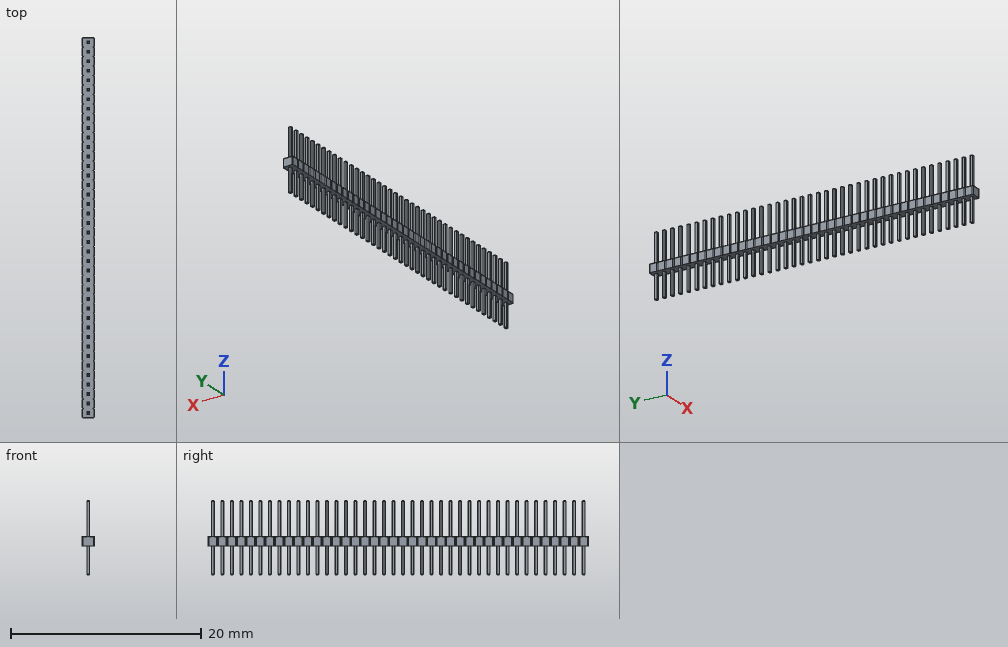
import cadquery as cq

PIN_COUNT = 40
PITCH = 1.0
BODY_WIDTH = 1.27
BODY_HEIGHT = 1.0
BODY_CORNER_CHAMFER = 0.1
PIN_SIZE = 0.3
PIN_TIP_CHAMFER = PIN_SIZE / 4
PIN_LENGTH_BELOW = 3.0
PIN_LENGTH_ABOVE = 3.8

PIN_LENGTH = PIN_LENGTH_BELOW + BODY_HEIGHT + PIN_LENGTH_ABOVE
FIRST_PIN_Y = -(PIN_COUNT - 1) * PITCH / 2
PIN_POSITIONS = [(0, FIRST_PIN_Y + index * PITCH) for index in range(PIN_COUNT)]


def half_outline(side):
    """Points along one long side of the body, in order of rising Y; side is +1 or -1 in X."""
    outer_x = side * BODY_WIDTH / 2
    notch_x = outer_x - side * BODY_CORNER_CHAMFER
    half_flat = PITCH / 2 - BODY_CORNER_CHAMFER
    points = [(notch_x, FIRST_PIN_Y - PITCH / 2)]
    for _, pin_y in PIN_POSITIONS:
        points.append((outer_x, pin_y - half_flat))
        points.append((outer_x, pin_y + half_flat))
        points.append((notch_x, pin_y + PITCH / 2))
    return points


def make_body():
    """Insulator strip with its underside on Z = 0: chamfered ends and a V notch between pins."""
    outline = half_outline(1) + half_outline(-1)[::-1]
    return cq.Workplane("XY").polyline(outline).close().extrude(BODY_HEIGHT)


def make_pins():
    """Square pins through the strip, chamfered to a blunt tip at both ends."""
    pin = (
        cq.Workplane("XY")
        .workplane(offset=-PIN_LENGTH_BELOW)
        .rect(PIN_SIZE, PIN_SIZE)
        .extrude(PIN_LENGTH)
        .faces("<Z or >Z")
        .chamfer(PIN_TIP_CHAMFER)
        .val()
    )
    return [pin.translate(cq.Vector(x, y, 0)) for x, y in PIN_POSITIONS]


result = cq.Workplane(make_body().val().fuse(*make_pins()))